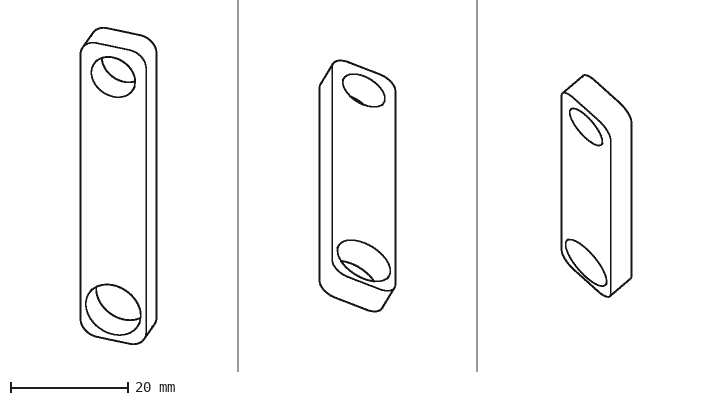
import cadquery as cq

length = 60.0
width = 12.0
thickness = 5.0
corner_radius = width / 4

upper_hole_diameter = 8.0
lower_hole_diameter = 10.0
hole_end_distance = 6.25
hole_height = length / 2 - hole_end_distance


def through_hole(diameter, height):
    """Cylinder through the full thickness, centred at the given Z."""
    return (
        cq.Workplane("XZ", origin=(0, thickness / 2, 0))
        .center(0, height)
        .circle(diameter / 2)
        .extrude(thickness)
    )


bar = cq.Workplane("XY").box(width, thickness, length).edges("|Y").fillet(corner_radius)

result = bar.cut(through_hole(upper_hole_diameter, hole_height))
result = result.cut(through_hole(lower_hole_diameter, -hole_height))